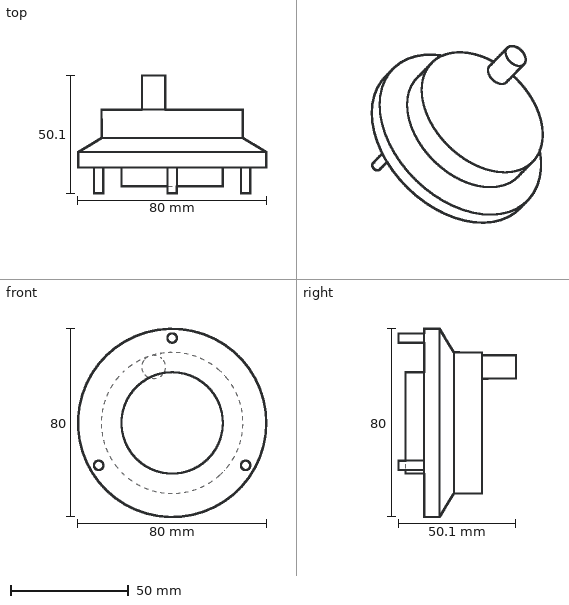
import cadquery as cq
import math

flange_diameter = 80.0
flange_thickness = 6.6
body_diameter = 60.0
body_length = 12.0
taper_length = 6.0

boss_diameter = 43.0
boss_height = 8.0

pin_count = 3
pin_diameter = 4.0
pin_length = 11.0
pin_circle_radius = 36.0
first_pin_angle = 90.0

shaft_diameter = 10.0
shaft_length = 14.5
shaft_angle = 108.3
shaft_offset = (body_diameter - shaft_diameter) / 2

taper_end = flange_thickness + taper_length
body_back = taper_end + body_length


def polar_point(radius, angle):
    """X and Z of a point at an angle in degrees from +X towards +Z."""
    return radius * math.cos(math.radians(angle)), radius * math.sin(math.radians(angle))


def cylinder_along_y(diameter, y_start, y_end, center=(0, 0)):
    """Cylinder parallel to Y, centred on the given X and Z."""
    x, z = center
    start = cq.Vector(x, y_start, z)
    return cq.Workplane(cq.Solid.makeCylinder(diameter / 2, y_end - y_start, start, cq.Vector(0, 1, 0)))


def make_housing():
    """Flange, conical taper and body turned as one profile about Y."""
    profile = [
        (0, 0),
        (flange_diameter / 2, 0),
        (flange_diameter / 2, flange_thickness),
        (body_diameter / 2, taper_end),
        (body_diameter / 2, body_back),
        (0, body_back),
    ]
    return cq.Workplane("XY").polyline(profile).close().revolve(360, (0, 0), (0, 1))


housing = make_housing()
boss = cylinder_along_y(boss_diameter, -boss_height, 0)
shaft = cylinder_along_y(
    shaft_diameter, body_back, body_back + shaft_length, polar_point(shaft_offset, shaft_angle)
)

result = housing.union(boss).union(shaft)

for index in range(pin_count):
    angle = first_pin_angle + index * 360 / pin_count
    pin_center = polar_point(pin_circle_radius, angle)
    result = result.union(cylinder_along_y(pin_diameter, -pin_length, 0, pin_center))